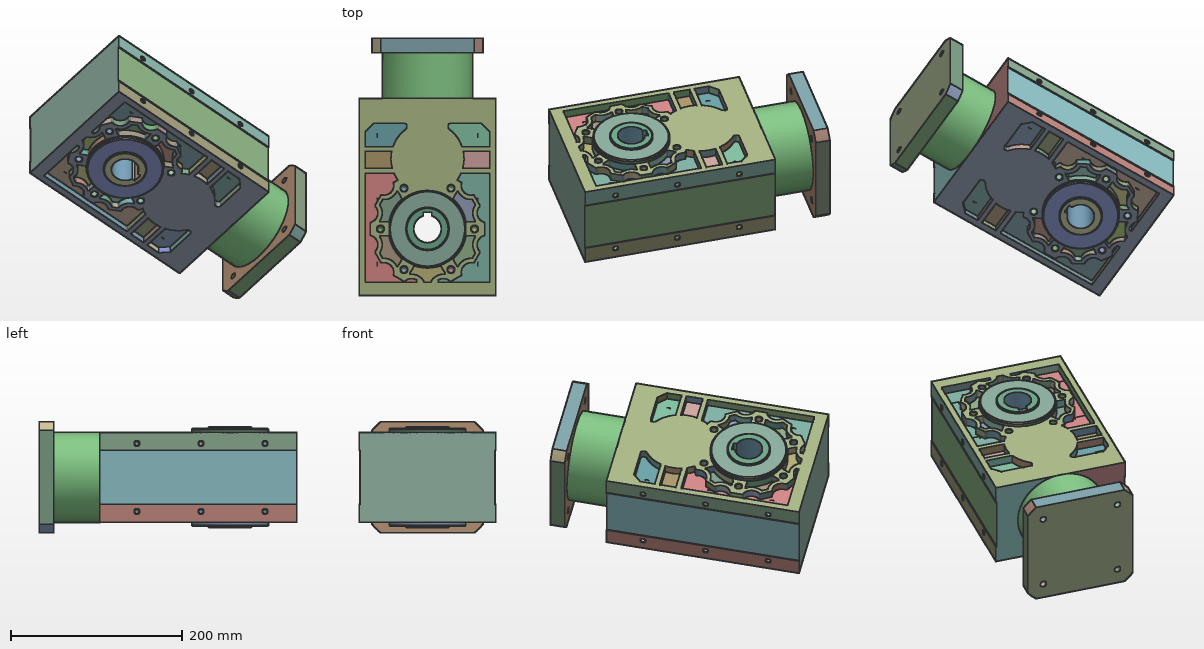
import cadquery as cq
import math


body_width = 160.0
body_height = 105.0
body_length = 230.5
bore_to_end = 78.0
side_recess_height = 63.2
side_recess_depth = 1.0
body_top = body_height / 2
body_front = -bore_to_end
body_back = body_length - bore_to_end
body_center_y = (body_front + body_back) / 2

flange_size = 130.0
flange_corner_diameter = 170.0
flange_thickness = 17.2
neck_diameter = 106.0
neck_length = 53.3
flange_hole_circle = 130.0
flange_hole_diameter = 7.2
flange_hole_count = 4

disc_diameter = 90.0
disc_height = 4.8
disc_chamfer = 1.5
collar_diameter = 50.5
collar_height = 6.5
collar_chamfer = 1.2
bore_diameter = 32.0
key_width = 10.0
key_top = 19.3

bolt_circle = 110.0
bolt_hole_diameter = 7.5
bolt_hole_depth = 15.0
side_hole_diameter = 5.5
side_hole_depth = 21.0
side_hole_first = 37.0
side_hole_pitch = 75.0
side_hole_count = 3
side_hole_height = 39.7
countersink = 0.5
drill_point_angle = 118

pocket_depth = 10.0
pocket_half_width = 72.5
main_pocket_front = -62.5
main_pocket_back = 65.0
middle_pocket_front = 71.0
middle_pocket_back = 90.5
rear_pocket_front = 96.3
rear_pocket_back = 123.5
rear_pocket_inner = 24.0
rear_pocket_chamfer = 9.5
rear_pocket_fillet = 3.0
pocket_corner_fillet = 1.0
input_pad_radius = 42.7
input_pad_y = 82.2
front_web_width = 25.5

ring_flats = 12
ring_outer_apothem = 66.8
ring_inner_apothem = -main_pocket_front
scallop_center_radius = 71.5
scallop_radius = 11.0
ring_wall = 5.0
ring_corner_fillet = 1.5
hub_wall_radius = 45.8
spoke_width = 16.3
spoke_count = 6
spoke_angle = 360 / spoke_count

pocket_floor = body_top - pocket_depth


def block(x_min, x_max, y_min, y_max):
    """Box spanning the pocket depth between the given X and Y limits."""
    return (
        cq.Workplane("XY", origin=((x_min + x_max) / 2, (y_min + y_max) / 2, pocket_floor))
        .rect(x_max - x_min, y_max - y_min)
        .extrude(pocket_depth)
    )


def disc(x, y, radius):
    """Cylinder spanning the pocket depth."""
    return cq.Workplane("XY", origin=(x, y, pocket_floor)).circle(radius).extrude(pocket_depth)


def scalloped_plate(apothem, cut_radius):
    """Twelve-sided plate with a round scallop in place of each corner."""
    half_step = math.pi / ring_flats
    plate = (
        cq.Workplane("XY", origin=(0, 0, pocket_floor))
        .polygon(ring_flats, 2 * apothem / math.cos(half_step))
        .extrude(pocket_depth)
        .rotate((0, 0, 0), (0, 0, 1), math.degrees(half_step))
    )
    for index in range(ring_flats):
        angle = (2 * index + 1) * half_step
        x = scallop_center_radius * math.cos(angle)
        y = scallop_center_radius * math.sin(angle)
        plate = plate.cut(disc(x, y, cut_radius))
    return plate


def both_sides(left_tool):
    """The tool together with its mirror image across the YZ plane."""
    return left_tool.union(left_tool.mirror("YZ"))


def outer_pockets():
    """Three pockets on each side, bounded inwards by the input pad and the scalloped ring."""
    pad = disc(0, input_pad_y, input_pad_radius)
    web = block(-front_web_width / 2, front_web_width / 2, main_pocket_front, 0)

    main = block(-pocket_half_width, 0, main_pocket_front, main_pocket_back)
    main = main.edges("|Z and <X").fillet(pocket_corner_fillet)
    ring = scalloped_plate(ring_outer_apothem, scallop_radius).edges("|Z").fillet(ring_corner_fillet)
    main = main.cut(ring).cut(pad).cut(web)

    middle = block(-pocket_half_width, 0, middle_pocket_front, middle_pocket_back).cut(pad)

    rear = block(-pocket_half_width, -rear_pocket_inner, rear_pocket_front, rear_pocket_back)
    rear = rear.edges("|Z and <X and >Y").chamfer(rear_pocket_chamfer)
    rear = rear.cut(pad)
    rear = rear.edges("|Z and >X").fillet(rear_pocket_fillet)
    return [both_sides(tool) for tool in (main, middle, rear)]


def inner_pockets():
    """Pockets between the hub wall, the ring and the spokes that carry the bolt holes."""
    tool = scalloped_plate(ring_inner_apothem, scallop_radius + ring_wall)
    tool = tool.cut(disc(0, 0, hub_wall_radius))
    for index in range(spoke_count):
        spoke = block(0, ring_outer_apothem, -spoke_width / 2, spoke_width / 2)
        tool = tool.cut(spoke.rotate((0, 0, 0), (0, 0, 1), index * spoke_angle))
    sector_half_width = bolt_circle / 4
    tool = tool.cut(block(-sector_half_width, sector_half_width, 0, ring_outer_apothem))
    return tool.edges("|Z").fillet(pocket_corner_fillet)


def drilled_hole(diameter, depth):
    """Countersunk hole tool with a conical drill point, running along -Z from the origin."""
    radius = diameter / 2
    point_length = radius / math.tan(math.radians(drill_point_angle / 2))
    half_profile = [
        (0, 0),
        (radius + countersink, 0),
        (radius, -countersink),
        (radius, -depth),
        (0, -depth - point_length),
    ]
    return cq.Workplane("XZ").polyline(half_profile).close().revolve(360, (0, 0), (0, 1))


body = cq.Workplane("XY").box(body_width, body_length, body_height)
body = body.translate((0, body_center_y, 0))
for side in (-1, 1):
    recess = cq.Workplane("XY").box(2 * side_recess_depth, body_length, side_recess_height)
    body = body.cut(recess.translate((side * body_width / 2, body_center_y, 0)))

flange_front = body_back + neck_length
neck = cq.Workplane("XZ", origin=(0, body_back, 0)).circle(neck_diameter / 2).extrude(-neck_length)
flange_plane = cq.Workplane("XZ", origin=(0, flange_front, 0))
flange = flange_plane.rect(flange_size, flange_size).extrude(-flange_thickness)
flange = flange.intersect(flange_plane.circle(flange_corner_diameter / 2).extrude(-flange_thickness))
flange_holes = (
    flange_plane.polarArray(flange_hole_circle / 2, 45, 360, flange_hole_count)
    .circle(flange_hole_diameter / 2)
    .extrude(-flange_thickness)
)
result = body.union(neck).union(flange.cut(flange_holes))

pockets = outer_pockets() + [inner_pockets()]
hub_disc = (
    cq.Workplane("XY", origin=(0, 0, pocket_floor))
    .circle(disc_diameter / 2)
    .extrude(pocket_depth + disc_height)
    .faces(">Z").edges().chamfer(disc_chamfer)
)
collar = (
    cq.Workplane("XY", origin=(0, 0, pocket_floor))
    .circle(collar_diameter / 2)
    .extrude(pocket_depth + collar_height)
    .faces(">Z").edges().chamfer(collar_chamfer)
)
hub = hub_disc.union(collar)
bolt_hole = drilled_hole(bolt_hole_diameter, bolt_hole_depth).translate((bolt_circle / 2, 0, body_top))
bolt_holes = [
    bolt_hole.rotate((0, 0, 0), (0, 0, 1), index * spoke_angle) for index in range(spoke_count)
]
for tool in pockets + bolt_holes:
    result = result.cut(tool).cut(tool.mirror("XY"))
result = result.union(hub).union(hub.mirror("XY"))

side_hole = drilled_hole(side_hole_diameter, side_hole_depth).rotate((0, 0, 0), (0, 1, 0), -90)
for index in range(side_hole_count):
    y = body_front + side_hole_first + index * side_hole_pitch
    for z in (-side_hole_height, side_hole_height):
        tool = side_hole.translate((-body_width / 2, y, z))
        result = result.cut(tool).cut(tool.mirror("YZ"))

bore = cq.Workplane("XY").circle(bore_diameter / 2).extrude(body_height, both=True)
keyway = cq.Workplane("XY", origin=(0, key_top / 2, 0)).rect(key_width, key_top)
result = result.cut(bore).cut(keyway.extrude(body_height, both=True))